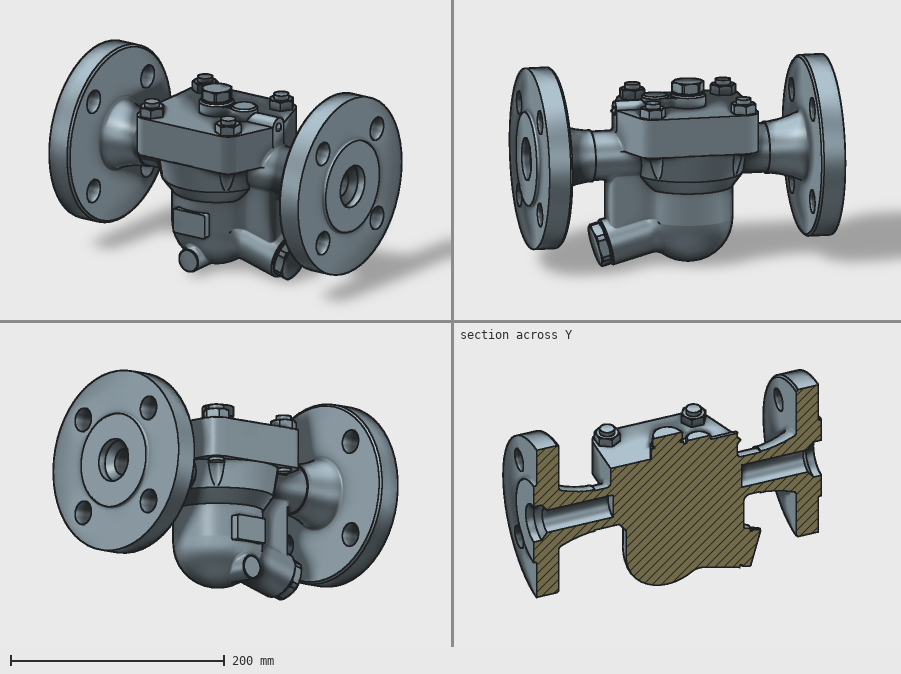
import cadquery as cq
import math

FACE_TO_FACE = 290.0
BODY_X = -10.0
SELECTION_MARGIN = 1.0
HEX_BEVEL_ANGLE = 30.0
HEX_HALF_STEP = 30.0

FLANGE_DIA = 170.0
FLANGE_THICKNESS = 22.5
FLANGE_CHAMFER = 2.0
RAISED_FACE_DIA = 88.0
RAISED_FACE_HEIGHT = 3.0
RAISED_FACE_FILLET = 2.0
BOLT_CIRCLE_DIA = 125.0
FLANGE_HOLE_DIA = 22.0
FLANGE_HOLE_COUNT = 4
FIRST_HOLE_ANGLE = 45.0

PIPE_RADIUS = 23.0
NECK_BASE_RADIUS = 32.0
NECK_TIP_RADIUS = 24.3
NECK_SAG = 1.1
NECK_LENGTH = 30.7
NECK_FILLET_RUN = 2.8
NECK_FILLET_RISE = 4.8
WELD_WIDTH = 5.2
BORE_MOUTH_DIA = 40.0
BORE_MOUTH_DEPTH = 8.0
BORE_DIA = 25.0
BORE_CONE_LENGTH = 5.5
BORE_DEPTH = 80.0

PLATE_BOTTOM_Z = 7.5
SPLIT_Z = 27.0
PLATE_TOP_Z = 44.2
STUD_OFFSET = 43.5
PLATE_CORNER_RADIUS = 14.0
NOSE_X = 60.5
NOSE_HALF_WIDTH = 9.0
NOSE_BLEND_RUN = 12.0
PIPE_TO_PLATE_FILLET = 3.7

STUD_DIA = 14.0
STUD_TOP_Z = 57.6
STUD_BOTTOM_Z = 4.5
NUT_ACROSS_FLATS = 21.0
NUT_TOP_Z = 53.0
STUD_CLEARANCE_RADIUS = 9.5

BOWL_TOP_RADIUS = 57.0
BOWL_WAIST_RADIUS = 51.8
BOWL_WAIST_Z = -18.6
BARREL_TOP_Z = -32.0
BARREL_RADIUS = 42.0
DOME_Z = -62.5

WEB_HALF_WIDTH = 17.0
WEB_END_X = 67.2
WEB_CORNER_RADIUS = 6.0
WEB_BARREL_FILLET = 15.0
WEB_PIPE_FILLET = 6.0
WEB_BRANCH_FILLET = 1.5
WEB_FOOT_START_X = 24.0
WEB_FOOT_TOP_Z = -58.5
WEB_FOOT_BOTTOM_Z = -68.0

BRANCH_TILT = 15.0
BRANCH_RADIUS = 22.0
BRANCH_LENGTH = 81.2
BRANCH_FILLET = 15.0
CAP_NECK_RADIUS = 19.0
CAP_START = 82.8
CAP_END = 92.2
CAP_ACROSS_FLATS = 38.0
CAP_TURNED_RADIUS = 20.65

DRAIN_DIA = 22.0
DRAIN_Z = -91.0
DRAIN_FACE_Y = -46.5
DRAIN_CHAMFER = 0.7
DRAIN_FILLET = 3.6

PAD_WIDTH = 36.0
PAD_BOTTOM_Z = -66.3
PAD_TOP_Z = -43.0
PAD_FACE_Y = -45.6
PAD_CORNER_RADIUS = 2.0

PLUG_BOSS_RADIUS = 16.5
BOSS_TOP_Z = 55.7
BOSS_CHAMFER = 1.7
PLUG_NECK_RADIUS = 13.0
PLUG_ACROSS_FLATS = 27.0
PLUG_TURNED_RADIUS = 15.1
PLUG_HEX_BOTTOM_Z = 57.0
PLUG_TOP_Z = 67.0
VALVE_BOSS_X = 21.5
VALVE_BOSS_RADIUS = 12.5
LINK_TOP_Z = 53.0
LINK_FILLET = 6.0
PASSAGE_RADIUS = 9.0
PASSAGE_Z = 42.0
PASSAGE_TIP_DIA = 8.0
PASSAGE_TIP_LENGTH = 3.4


def vertical_cylinder(x, y, radius, bottom, top):
    return cq.Workplane("XY", origin=(x, y, bottom)).circle(radius).extrude(top - bottom)


def chamfered_hex(across_flats, height, turn, turned_radius, both_ends=False):
    """Hexagon on Z whose corners are turned back by a shallow cone."""
    corner_radius = across_flats / math.sqrt(3)
    hexagon = (
        cq.Workplane("XY")
        .polygon(6, 2 * corner_radius)
        .extrude(height)
        .rotate((0, 0, 0), (0, 0, 1), turn)
    )
    flat_radius = across_flats / 2
    drop = (turned_radius - flat_radius) * math.tan(math.radians(HEX_BEVEL_ANGLE))
    profile = cq.Workplane("XZ").moveTo(0, 0)
    if both_ends:
        profile = profile.lineTo(flat_radius, 0).lineTo(turned_radius, drop)
    else:
        profile = profile.lineTo(turned_radius, 0)
    blank = (
        profile.lineTo(turned_radius, height - drop)
        .lineTo(flat_radius, height)
        .lineTo(0, height)
        .close()
        .revolve(360, (0, 0, 0), (0, 1, 0))
    )
    return hexagon.intersect(blank)


def flange_and_neck():
    """Flange, raised face, curved neck and weld bead at the -X end."""
    end = -FACE_TO_FACE / 2
    front = end + RAISED_FACE_HEIGHT
    back = front + FLANGE_THICKNESS
    neck_start = back + NECK_FILLET_RUN
    neck_end = back + NECK_LENGTH
    weld_end = neck_end + WELD_WIDTH
    flange_radius = FLANGE_DIA / 2
    raised_radius = RAISED_FACE_DIA / 2
    arc_inset = 1 - math.sqrt(0.5)
    raised_mid = RAISED_FACE_FILLET * arc_inset
    neck_middle = (
        (neck_start + neck_end) / 2,
        (NECK_BASE_RADIUS + NECK_TIP_RADIUS) / 2 - NECK_SAG,
    )
    flange = (
        cq.Workplane("XY")
        .moveTo(end, 0)
        .lineTo(end, raised_radius)
        .lineTo(front - RAISED_FACE_FILLET, raised_radius)
        .threePointArc(
            (front - raised_mid, raised_radius + raised_mid),
            (front, raised_radius + RAISED_FACE_FILLET),
        )
        .lineTo(front, flange_radius)
        .lineTo(back - FLANGE_CHAMFER, flange_radius)
        .lineTo(back, flange_radius - FLANGE_CHAMFER)
        .lineTo(back, NECK_BASE_RADIUS + NECK_FILLET_RISE)
        .threePointArc(
            (back + NECK_FILLET_RUN * arc_inset, NECK_BASE_RADIUS + NECK_FILLET_RISE * arc_inset),
            (neck_start, NECK_BASE_RADIUS),
        )
        .threePointArc(neck_middle, (neck_end, NECK_TIP_RADIUS))
        .lineTo(weld_end, NECK_TIP_RADIUS)
        .lineTo(weld_end, 0)
        .close()
        .revolve(360, (0, 0, 0), (1, 0, 0))
    )
    holes = (
        cq.Workplane("YZ", origin=(end, 0, 0))
        .polarArray(BOLT_CIRCLE_DIA / 2, FIRST_HOLE_ANGLE, 360, FLANGE_HOLE_COUNT)
        .circle(FLANGE_HOLE_DIA / 2)
        .extrude(RAISED_FACE_HEIGHT + FLANGE_THICKNESS)
    )
    return flange.cut(holes)


def end_bore():
    """Stepped bore entering the -X end."""
    end = -FACE_TO_FACE / 2
    cone_start = end + BORE_MOUTH_DEPTH
    cone_end = cone_start + BORE_CONE_LENGTH
    return (
        cq.Workplane("XY")
        .moveTo(end, 0)
        .lineTo(end, BORE_MOUTH_DIA / 2)
        .lineTo(cone_start, BORE_MOUTH_DIA / 2)
        .lineTo(cone_end, BORE_DIA / 2)
        .lineTo(end + BORE_DEPTH, BORE_DIA / 2)
        .lineTo(end + BORE_DEPTH, 0)
        .close()
        .revolve(360, (0, 0, 0), (1, 0, 0))
    )


def plate(bottom, top):
    """Plate with rounded corners around the studs and a blunt nose toward +X."""
    left_x = BODY_X - STUD_OFFSET
    right_x = BODY_X + STUD_OFFSET
    edge_x = left_x - PLATE_CORNER_RADIUS
    edge_y = STUD_OFFSET + PLATE_CORNER_RADIUS
    diagonal = PLATE_CORNER_RADIUS * math.sqrt(0.5)

    nose_dx = NOSE_X - right_x
    nose_dy = NOSE_HALF_WIDTH - STUD_OFFSET
    touch = math.atan2(nose_dy, nose_dx) + math.acos(
        PLATE_CORNER_RADIUS / math.hypot(nose_dx, nose_dy)
    )
    middle = (touch + math.pi / 2) / 2

    def corner_point(angle, side):
        x = right_x + PLATE_CORNER_RADIUS * math.cos(angle)
        y = STUD_OFFSET + PLATE_CORNER_RADIUS * math.sin(angle)
        return (x, side * y)

    return (
        cq.Workplane("XY", origin=(0, 0, bottom))
        .moveTo(left_x, edge_y)
        .lineTo(right_x, edge_y)
        .threePointArc(corner_point(middle, 1), corner_point(touch, 1))
        .lineTo(NOSE_X, NOSE_HALF_WIDTH)
        .lineTo(NOSE_X, -NOSE_HALF_WIDTH)
        .lineTo(*corner_point(touch, -1))
        .threePointArc(corner_point(middle, -1), (right_x, -edge_y))
        .lineTo(left_x, -edge_y)
        .threePointArc((left_x - diagonal, -STUD_OFFSET - diagonal), (edge_x, -STUD_OFFSET))
        .lineTo(edge_x, STUD_OFFSET)
        .threePointArc((left_x - diagonal, STUD_OFFSET + diagonal), (left_x, edge_y))
        .close()
        .extrude(top - bottom)
    )


def pipe_and_body_flange():
    """Straight pipe blended into the left face and the nose of the body flange."""
    length = FACE_TO_FACE - 2 * (RAISED_FACE_HEIGHT + FLANGE_THICKNESS)
    pipe = cq.Workplane("YZ", origin=(-length / 2, 0, 0)).circle(PIPE_RADIUS).extrude(length)
    joined = plate(PLATE_BOTTOM_Z, SPLIT_Z).union(pipe)
    left_face_x = BODY_X - STUD_OFFSET - PLATE_CORNER_RADIUS
    reach = PIPE_RADIUS + SELECTION_MARGIN
    bottom = PLATE_BOTTOM_Z - SELECTION_MARGIN
    left_span = (left_face_x - SELECTION_MARGIN, left_face_x + SELECTION_MARGIN)
    nose_span = (NOSE_X - NOSE_BLEND_RUN, NOSE_X + SELECTION_MARGIN)
    for first_x, last_x in (left_span, nose_span):
        junction = cq.selectors.BoxSelector(
            (first_x, -reach, bottom), (last_x, reach, reach), boundingbox=True
        )
        joined = joined.edges(junction).fillet(PIPE_TO_PLATE_FILLET)
    return joined


def bowl():
    """Conical bowl under the body flange, drawn in to the barrel and relieved at the studs."""
    shape = (
        cq.Workplane("XZ")
        .moveTo(0, PLATE_BOTTOM_Z)
        .lineTo(BOWL_TOP_RADIUS, PLATE_BOTTOM_Z)
        .lineTo(BOWL_WAIST_RADIUS, BOWL_WAIST_Z)
        .lineTo(BARREL_RADIUS, BARREL_TOP_Z)
        .lineTo(0, BARREL_TOP_Z)
        .close()
        .revolve(360, (0, 0, 0), (0, 1, 0))
        .translate((BODY_X, 0, 0))
    )
    for x, y in stud_positions():
        clearance = vertical_cylinder(x, y, STUD_CLEARANCE_RADIUS, BARREL_TOP_Z, PLATE_BOTTOM_Z)
        shape = shape.cut(clearance)
    return shape


def stud_positions():
    return [
        (BODY_X + side_x * STUD_OFFSET, side_y * STUD_OFFSET)
        for side_x in (-1, 1)
        for side_y in (-1, 1)
    ]


def stud_and_nut(x, y):
    """Stud through the plates with its nut; nuts on one diagonal are turned 30 degrees."""
    stud = vertical_cylinder(x, y, STUD_DIA / 2, STUD_BOTTOM_Z, STUD_TOP_Z)
    turn = HEX_HALF_STEP if (x - BODY_X) * y < 0 else 0
    nut = chamfered_hex(
        NUT_ACROSS_FLATS, NUT_TOP_Z - PLATE_TOP_Z, turn, NUT_ACROSS_FLATS / math.sqrt(3)
    )
    return stud.union(nut.translate((x, y, PLATE_TOP_Z)))


def barrel_and_dome():
    """Round barrel closed by a hemisphere, with the drain boss blended into it."""
    barrel = vertical_cylinder(BODY_X, 0, BARREL_RADIUS, DOME_Z, BARREL_TOP_Z)
    dome = cq.Workplane("XY").sphere(BARREL_RADIUS, angle1=-90, angle2=0)
    body = barrel.union(dome.translate((BODY_X, 0, DOME_Z)))
    drain = (
        cq.Workplane("XZ", origin=(BODY_X, 0, DRAIN_Z))
        .circle(DRAIN_DIA / 2)
        .extrude(-DRAIN_FACE_Y)
        .faces("<Y")
        .chamfer(DRAIN_CHAMFER)
    )
    reach = DRAIN_DIA / 2 + SELECTION_MARGIN
    junction = cq.selectors.BoxSelector(
        (BODY_X - reach, DRAIN_FACE_Y + 2 * DRAIN_CHAMFER, DRAIN_Z - reach),
        (BODY_X + reach, 0, DRAIN_Z + reach),
        boundingbox=True,
    )
    return body.union(drain).edges(junction).fillet(DRAIN_FILLET)


def branch_plane():
    """Plane at the dome centre whose normal runs down the strainer branch."""
    tilt = math.radians(BRANCH_TILT)
    return cq.Plane(
        origin=(BODY_X, 0, DOME_Z),
        xDir=(0, 1, 0),
        normal=(math.cos(tilt), 0, -math.sin(tilt)),
    )


def branch():
    """Strainer branch with a hexagonal cap and a concave blend into the dome."""
    blend_centre_offset = BRANCH_RADIUS + BRANCH_FILLET
    blend_end = math.sqrt((BARREL_RADIUS + BRANCH_FILLET) ** 2 - blend_centre_offset**2)
    share = BARREL_RADIUS / (BARREL_RADIUS + BRANCH_FILLET)
    start_angle = math.atan2(-blend_centre_offset, -blend_end)
    middle_angle = (start_angle - math.pi / 2) / 2
    blend_middle = (
        blend_centre_offset + BRANCH_FILLET * math.sin(middle_angle),
        blend_end + BRANCH_FILLET * math.cos(middle_angle),
    )
    body = (
        cq.Workplane("XZ")
        .moveTo(0, 0)
        .lineTo(blend_centre_offset * share, blend_end * share)
        .threePointArc(blend_middle, (BRANCH_RADIUS, blend_end))
        .lineTo(BRANCH_RADIUS, BRANCH_LENGTH)
        .lineTo(CAP_NECK_RADIUS, BRANCH_LENGTH)
        .lineTo(CAP_NECK_RADIUS, CAP_START)
        .lineTo(0, CAP_START)
        .close()
        .revolve(360, (0, 0, 0), (0, 1, 0))
    )
    cap = (
        chamfered_hex(
            CAP_ACROSS_FLATS,
            CAP_END - CAP_START,
            HEX_HALF_STEP,
            CAP_TURNED_RADIUS,
            both_ends=True,
        )
        .translate((0, 0, CAP_START))
    )
    location = cq.Location(branch_plane())
    return cq.Workplane(body.union(cap).val().moved(location))


def web():
    """Upright web under the pipe, flared into the barrel and cut off along the branch axis."""
    flare_y = WEB_HALF_WIDTH + WEB_BARREL_FILLET
    reach = BARREL_RADIUS + WEB_BARREL_FILLET
    flare_x = math.sqrt(reach**2 - flare_y**2)
    share = BARREL_RADIUS / reach
    middle_angle = (math.atan2(-flare_y, -flare_x) - math.pi / 2) / 2
    flare_middle = (
        BODY_X + flare_x + WEB_BARREL_FILLET * math.cos(middle_angle),
        flare_y + WEB_BARREL_FILLET * math.sin(middle_angle),
    )
    slope = math.tan(math.radians(BRANCH_TILT))
    above_axis = (
        cq.Workplane("XZ")
        .polyline([
            (BODY_X, 0),
            (BODY_X, DOME_Z),
            (WEB_END_X, DOME_Z - (WEB_END_X - BODY_X) * slope),
            (WEB_END_X, 0),
        ])
        .close()
        .extrude(BARREL_RADIUS, both=True)
    )
    flare = cq.Workplane("XY").moveTo(BODY_X, 0)
    flare = flare.lineTo(BODY_X + flare_x * share, flare_y * share)
    flare = flare.threePointArc(flare_middle, (BODY_X + flare_x, WEB_HALF_WIDTH))
    flare = flare.lineTo(BODY_X + flare_x, 0).mirrorX()
    flare = flare.extrude(-FACE_TO_FACE).translate((0, 0, BOWL_WAIST_Z))
    slab = (
        cq.Workplane("XY")
        .rect(2 * (WEB_END_X - BODY_X), 2 * WEB_HALF_WIDTH)
        .extrude(-FACE_TO_FACE)
        .edges("|Z and >X")
        .fillet(WEB_CORNER_RADIUS)
        .translate((BODY_X, 0, 0))
    )
    return slab.intersect(above_axis), flare.intersect(above_axis)


def cover_top():
    """Plug boss with its hexagon, valve boss, the link between them and the passage rib."""
    top = link()
    for x, radius in ((BODY_X, PLUG_BOSS_RADIUS), (VALVE_BOSS_X, VALVE_BOSS_RADIUS)):
        boss = vertical_cylinder(x, 0, radius, PLATE_TOP_Z, BOSS_TOP_Z)
        top = top.union(boss.faces(">Z").chamfer(BOSS_CHAMFER))
    neck = vertical_cylinder(BODY_X, 0, PLUG_NECK_RADIUS, BOSS_TOP_Z, PLUG_HEX_BOTTOM_Z)
    plug = chamfered_hex(
        PLUG_ACROSS_FLATS,
        PLUG_TOP_Z - PLUG_HEX_BOTTOM_Z,
        0,
        PLUG_TURNED_RADIUS,
        both_ends=True,
    ).translate((BODY_X, 0, PLUG_HEX_BOTTOM_Z))
    passage = (
        cq.Workplane("YZ", origin=(VALVE_BOSS_X, 0, PASSAGE_Z))
        .circle(PASSAGE_RADIUS)
        .extrude(NOSE_X - VALVE_BOSS_X)
    )
    tip = cq.Workplane(
        cq.Solid.makeCone(
            PASSAGE_TIP_DIA / 2,
            0,
            PASSAGE_TIP_LENGTH,
            pnt=cq.Vector(NOSE_X, 0, PASSAGE_Z),
            dir=cq.Vector(1, 0, 0),
        )
    )
    return top.union(neck).union(plug).union(passage).union(tip)


def link():
    """Waisted link whose concave sides touch both bosses."""
    gap = VALVE_BOSS_X - BODY_X
    to_plug = PLUG_BOSS_RADIUS + LINK_FILLET
    to_valve = VALVE_BOSS_RADIUS + LINK_FILLET
    centre_x = (gap**2 + to_plug**2 - to_valve**2) / (2 * gap)
    centre_y = math.sqrt(to_plug**2 - centre_x**2)
    plug_touch = (
        BODY_X + centre_x * PLUG_BOSS_RADIUS / to_plug,
        centre_y * PLUG_BOSS_RADIUS / to_plug,
    )
    valve_touch = (
        VALVE_BOSS_X - (gap - centre_x) * VALVE_BOSS_RADIUS / to_valve,
        centre_y * VALVE_BOSS_RADIUS / to_valve,
    )
    waist = (BODY_X + centre_x, centre_y - LINK_FILLET)
    return (
        cq.Workplane("XY", origin=(0, 0, PLATE_TOP_Z))
        .moveTo(BODY_X, 0)
        .lineTo(*plug_touch)
        .threePointArc(waist, valve_touch)
        .lineTo(VALVE_BOSS_X, 0)
        .mirrorX()
        .extrude(LINK_TOP_Z - PLATE_TOP_Z)
    )


def name_pad():
    height = PAD_TOP_Z - PAD_BOTTOM_Z
    return (
        cq.Workplane("XZ", origin=(BODY_X, 0, (PAD_TOP_Z + PAD_BOTTOM_Z) / 2))
        .rect(PAD_WIDTH, height)
        .extrude(-PAD_FACE_Y)
        .edges("|Y")
        .fillet(PAD_CORNER_RADIUS)
    )


def body_casting():
    """Pipe, body flange, web, bowl, barrel, branch and pad as one casting."""
    slab, flare = web()
    casting = pipe_and_body_flange().union(slab)
    reach = PIPE_RADIUS + SELECTION_MARGIN
    under_pipe = cq.selectors.BoxSelector(
        (BODY_X + SELECTION_MARGIN, -reach, -reach),
        (WEB_END_X + SELECTION_MARGIN, reach, -SELECTION_MARGIN),
        boundingbox=True,
    )
    casting = casting.edges(under_pipe).fillet(WEB_PIPE_FILLET)
    casting = casting.union(branch()).union(barrel_and_dome()).union(bowl()).union(flare)
    web_foot = cq.selectors.BoxSelector(
        (WEB_FOOT_START_X, -BARREL_RADIUS, WEB_FOOT_BOTTOM_Z),
        (WEB_END_X + SELECTION_MARGIN, BARREL_RADIUS, WEB_FOOT_TOP_Z),
        boundingbox=True,
    )
    casting = casting.edges(web_foot).fillet(WEB_BRANCH_FILLET)
    return casting.union(name_pad())


def build():
    """Join all parts; unions are left uncleaned so the cover seam stays on the plate sides."""
    part = body_casting()
    part = part.union(plate(SPLIT_Z, PLATE_TOP_Z), clean=False)
    part = part.union(cover_top(), clean=False)
    for x, y in stud_positions():
        part = part.union(stud_and_nut(x, y), clean=False)
    for mirrored in (False, True):
        end = flange_and_neck()
        bore = end_bore()
        if mirrored:
            end = end.mirror("YZ")
            bore = bore.mirror("YZ")
        part = part.union(end, clean=False).cut(bore, clean=False)
    return part


result = build()